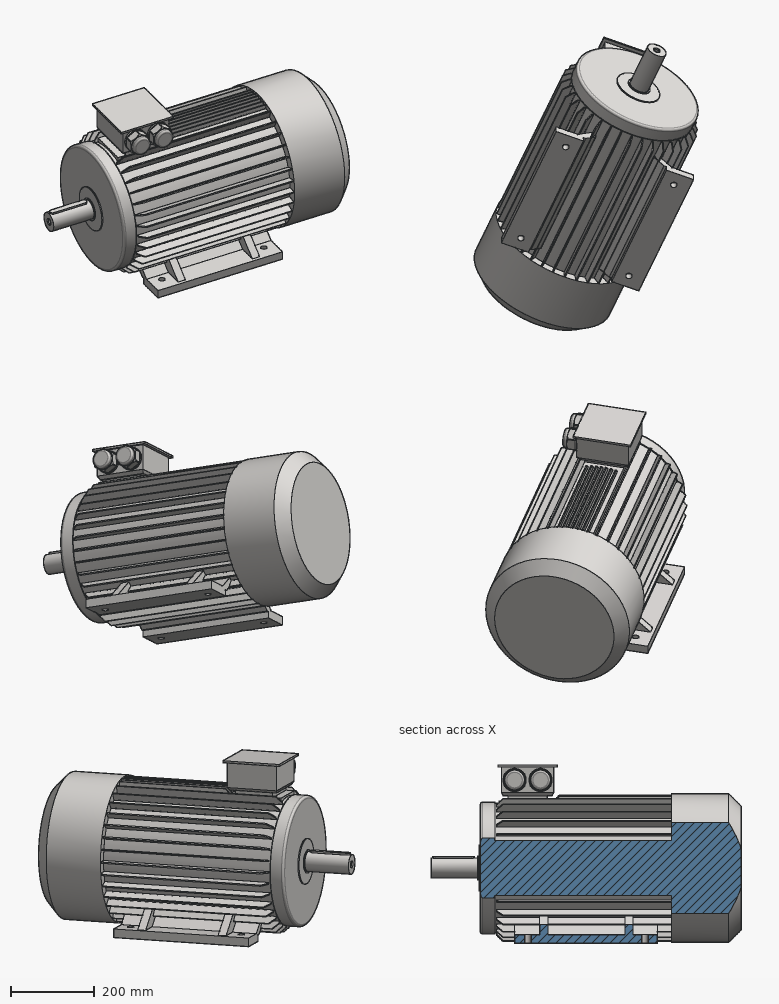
import cadquery as cq
import math


SHAFT_HEIGHT = 180.0
TOP_Z = 246.0
SHAFT_LENGTH = 110.0
REAR_Y = 630.0

SHAFT_DIA = 48.0
KEY_WIDTH = 14.0
KEY_LENGTH = 100.0
KEY_TOP_Z = 27.5
KEY_FRONT_Y = -107.0
CENTRE_HOLE_DIA = 13.84
CENTRE_HOLE_DEPTH = 30.0
CENTRE_HOLE_MOUTH_DIA = 17.0
CENTRE_HOLE_MOUTH_ANGLE = 60.0
DRILL_POINT_ANGLE = 118.0
RING_DIA = 56.5
RING_WIDTH = 1.5
BOSS_DIA = 110.0
BOSS_FRONT_Y = 4.0
SHIELD_DIA = 315.0
SHIELD_FRONT_Y = 7.0
SHIELD_REAR_Y = 42.0
SHIELD_EDGE_RADIUS = 6.0

COVER_DIA = 355.0
COVER_FRONT_Y = 463.0
COVER_CHAMFER = 30.0

CORE_DIA = 310.0
FIN_TIP_RADIUS = 175.5
FIN_THICKNESS = 3.0
FIN_STEP_ANGLE = 10
FIN_FRONT_Y = 46.0
FIN_BEVEL = 15.0
FIN_ROOT_OVERLAP = 3.0
FIN_ROOT_RADIUS = CORE_DIA / 2 - FIN_ROOT_OVERLAP
TOP_GAP_ANGLES = (80, 90, 100)
TOP_FIN_TIP_RADIUS = 174.5
TOP_FIN_PITCH = 12.0
TOP_FIN_COUNT = 7
TOP_FIN_FRONT_Y = 181.0

BOX_CENTRE_Y = 120.0
LID_SIZE = 142.0
LID_THICKNESS = 5.0
BOX_WIDTH = 128.0
BOX_LENGTH = 125.0
BOX_BOTTOM_Z = 172.5
BOX_TAPER_HEIGHT = 7.5
BOX_TAPER_X = 8.5
BOX_TAPER_Y = 4.0
NECK_WIDTH = 97.0
NECK_LENGTH = 94.0
PAD_TOP_Z = 159.5
PAD_FRONT_Y = 52.0
PAD_ROOT_OVERLAP = 15.0

GLAND_Z = 210.0
GLAND_HALF_SPACING = 31.0
GLAND_WASHER_DIA = 55.0
GLAND_WASHER_WIDTH = 5.5
GLAND_HEX_FLATS = 50.0
GLAND_HEX_CORNER_DIA = 56.5
GLAND_HEX_WIDTH = 21.5
GLAND_HEX_CHAMFER = 3.5
GLAND_END_DIA = 47.09
GLAND_END_LENGTH = 11.2
GLAND_END_RADIUS = 5.0

FOOT_OUTER_X = COVER_DIA / 2
FOOT_INNER_X = 107.5
FOOT_THICKNESS = 21.2
FOOT_FRONT_Y = 89.0
FOOT_REAR_Y = 430.0
FOOT_ARM_SLOPE = math.radians(40.0)
ARM_TOP_START_X = 121.5
ARM_END_X = 75.0
ARM_LEDGE_WIDTH = 6.5
ARM_LEDGE_HEIGHT = 15.6
GUSSET_START_X = 168.8
GUSSET_END_X = 105.0
GUSSET_WIDTH = 20.0
GUSSET_CENTRES_Y = (159.0, 362.0)
FOOT_HOLE_DIA = 15.0
FOOT_HOLE_X = 139.5
FOOT_HOLES_Y = (121.0, 400.0)

FOOT_TOP_Z = FOOT_THICKNESS - SHAFT_HEIGHT


def cylinder_y(diameter, start_y, end_y):
    """Cylinder on the shaft axis between two Y positions."""
    base = cq.Workplane("XZ", origin=(0, start_y, 0))
    return base.circle(diameter / 2).extrude(start_y - end_y)


def cylinder_x(diameter, start_x, length, centre_y):
    """Cylinder along X at cable gland height."""
    base = cq.Workplane("YZ", origin=(start_x, centre_y, GLAND_Z))
    return base.circle(diameter / 2).extrude(length)


def block(width, length, centre_y, bottom_z, top_z):
    """Box centred on X = 0."""
    base = cq.Workplane("XY", origin=(0, centre_y, bottom_z))
    return base.rect(width, length).extrude(top_z - bottom_z)


def make_shaft():
    shaft = cylinder_y(SHAFT_DIA, -SHAFT_LENGTH, BOSS_FRONT_Y)
    ring = cylinder_y(RING_DIA, 0, RING_WIDTH)
    key_centre_y = KEY_FRONT_Y + KEY_LENGTH / 2
    key = (
        cq.Workplane("XY", origin=(0, key_centre_y, 0))
        .slot2D(KEY_LENGTH, KEY_WIDTH, 90)
        .extrude(KEY_TOP_Z)
    )
    return shaft.union(ring).union(key)


def make_centre_hole():
    """Threaded-hole core with a countersunk mouth and a conical bottom."""
    radius = CENTRE_HOLE_DIA / 2
    mouth_radius = CENTRE_HOLE_MOUTH_DIA / 2
    mouth_depth = (mouth_radius - radius) / math.tan(math.radians(CENTRE_HOLE_MOUTH_ANGLE / 2))
    point_depth = radius / math.tan(math.radians(DRILL_POINT_ANGLE / 2))
    outline = [
        (0, 0),
        (mouth_radius, 0),
        (radius, mouth_depth),
        (radius, CENTRE_HOLE_DEPTH),
        (0, CENTRE_HOLE_DEPTH + point_depth),
    ]
    hole = cq.Workplane("XY").polyline(outline).close().revolve(360, (0, 0), (0, 1))
    return hole.translate((0, -SHAFT_LENGTH, 0))


def make_body():
    """Bearing boss, end shield, smooth housing core and fan cover."""
    boss = cylinder_y(BOSS_DIA, BOSS_FRONT_Y, SHIELD_FRONT_Y)
    shield = cylinder_y(SHIELD_DIA, SHIELD_FRONT_Y, SHIELD_REAR_Y)
    shield = shield.faces("<Y").edges().fillet(SHIELD_EDGE_RADIUS)
    core = cylinder_y(CORE_DIA, SHIELD_REAR_Y, COVER_FRONT_Y)
    cover = cylinder_y(COVER_DIA, COVER_FRONT_Y, REAR_Y)
    cover = cover.faces(">Y").edges().chamfer(COVER_CHAMFER)
    return core.union(shield).union(boss).union(cover)


def make_fin(tip_radius, front_y):
    """Upright plate above the axis with a 45 degree bevel at its front top corner."""
    outline = [
        (front_y, FIN_ROOT_RADIUS),
        (front_y, tip_radius - FIN_BEVEL),
        (front_y + FIN_BEVEL, tip_radius),
        (COVER_FRONT_Y, tip_radius),
        (COVER_FRONT_Y, FIN_ROOT_RADIUS),
    ]
    plane = cq.Workplane("YZ")
    return plane.polyline(outline).close().extrude(FIN_THICKNESS / 2, both=True)


def add_radial_fins(body):
    fin = make_fin(FIN_TIP_RADIUS, FIN_FRONT_Y)
    for angle in range(0, 360, FIN_STEP_ANGLE):
        if angle not in TOP_GAP_ANGLES:
            body = body.union(fin.rotate((0, 0, 0), (0, 1, 0), 90 - angle))
    return body


def add_top_fins(body):
    """Closely spaced upright fins behind the terminal box, all ending on one tip circle."""
    fin = make_fin(TOP_FIN_TIP_RADIUS, TOP_FIN_FRONT_Y)
    row_half_width = (TOP_FIN_COUNT - 1) / 2 * TOP_FIN_PITCH
    for index in range(TOP_FIN_COUNT):
        offset_x = index * TOP_FIN_PITCH - row_half_width
        drop = TOP_FIN_TIP_RADIUS - math.sqrt(TOP_FIN_TIP_RADIUS ** 2 - offset_x ** 2)
        body = body.union(fin.translate((offset_x, 0, -drop)))
    return body


def make_terminal_box():
    """Lid, box with a tapered bottom, neck, and the flat pad that runs back to the cover."""
    lid = block(LID_SIZE, LID_SIZE, BOX_CENTRE_Y, TOP_Z - LID_THICKNESS, TOP_Z)
    taper_top_z = BOX_BOTTOM_Z + BOX_TAPER_HEIGHT
    box = block(BOX_WIDTH, BOX_LENGTH, BOX_CENTRE_Y, taper_top_z, TOP_Z - LID_THICKNESS)
    taper = (
        cq.Workplane("XY", origin=(0, BOX_CENTRE_Y, BOX_BOTTOM_Z))
        .rect(BOX_WIDTH - 2 * BOX_TAPER_X, BOX_LENGTH - 2 * BOX_TAPER_Y)
        .workplane(offset=BOX_TAPER_HEIGHT)
        .rect(BOX_WIDTH, BOX_LENGTH)
        .loft(ruled=True)
    )
    pad_root_z = CORE_DIA / 2 - PAD_ROOT_OVERLAP
    neck = block(NECK_WIDTH, NECK_LENGTH, BOX_CENTRE_Y, pad_root_z, BOX_BOTTOM_Z)
    pad_length = COVER_FRONT_Y - PAD_FRONT_Y
    pad_centre_y = PAD_FRONT_Y + pad_length / 2
    pad = block(NECK_WIDTH, pad_length, pad_centre_y, pad_root_z, PAD_TOP_Z)
    return box.union(taper).union(lid).union(neck).union(pad)


def make_gland(centre_y):
    """Washer, hexagon nut with rounded corners, and round end piece."""
    washer_x = BOX_WIDTH / 2
    hex_x = washer_x + GLAND_WASHER_WIDTH
    end_x = hex_x + GLAND_HEX_WIDTH
    washer = cylinder_x(GLAND_WASHER_DIA, washer_x, GLAND_WASHER_WIDTH, centre_y)
    hexagon = (
        cq.Workplane("YZ", origin=(hex_x, centre_y, GLAND_Z))
        .polygon(6, GLAND_HEX_FLATS, circumscribed=True)
        .extrude(GLAND_HEX_WIDTH)
    )
    turned = cylinder_x(GLAND_HEX_CORNER_DIA, hex_x, GLAND_HEX_WIDTH, centre_y)
    turned = turned.faces(">X").edges().chamfer(GLAND_HEX_CHAMFER)
    end = cylinder_x(GLAND_END_DIA, end_x, GLAND_END_LENGTH, centre_y)
    end = end.faces(">X").edges().fillet(GLAND_END_RADIUS)
    return washer.union(hexagon.intersect(turned)).union(end)


def make_foot():
    """Foot on the +X side: base plate, sloping arm into the core, gussets and holes."""
    slope = math.tan(FOOT_ARM_SLOPE)
    ledge_x = FOOT_INNER_X - ARM_LEDGE_WIDTH
    ledge_z = ARM_LEDGE_HEIGHT - SHAFT_HEIGHT
    profile = [
        (FOOT_OUTER_X, -SHAFT_HEIGHT),
        (FOOT_OUTER_X, FOOT_TOP_Z),
        (ARM_TOP_START_X, FOOT_TOP_Z),
        (ARM_END_X, FOOT_TOP_Z + slope * (ARM_TOP_START_X - ARM_END_X)),
        (ARM_END_X, ledge_z + slope * (ledge_x - ARM_END_X)),
        (ledge_x, ledge_z),
        (FOOT_INNER_X, ledge_z),
        (FOOT_INNER_X, -SHAFT_HEIGHT),
    ]
    front = cq.Workplane("XZ", origin=(0, FOOT_FRONT_Y, 0))
    foot = front.polyline(profile).close().extrude(FOOT_FRONT_Y - FOOT_REAR_Y)

    gusset_profile = [
        (GUSSET_START_X, FOOT_TOP_Z),
        (GUSSET_END_X, FOOT_TOP_Z + slope * (GUSSET_START_X - GUSSET_END_X)),
        (ARM_END_X, FOOT_TOP_Z + slope * (ARM_TOP_START_X - ARM_END_X)),
        (ARM_TOP_START_X, FOOT_TOP_Z),
    ]
    for centre_y in GUSSET_CENTRES_Y:
        plane = cq.Workplane("XZ", origin=(0, centre_y, 0))
        foot = foot.union(plane.polyline(gusset_profile).close().extrude(GUSSET_WIDTH / 2, both=True))

    hole_points = [(FOOT_HOLE_X, hole_y) for hole_y in FOOT_HOLES_Y]
    holes = (
        cq.Workplane("XY", origin=(0, 0, -SHAFT_HEIGHT))
        .pushPoints(hole_points)
        .circle(FOOT_HOLE_DIA / 2)
        .extrude(FOOT_THICKNESS)
    )
    return foot.cut(holes)


motor = add_top_fins(add_radial_fins(make_body()))

foot = make_foot()
motor = motor.union(foot).union(foot.mirror("YZ"))

motor = motor.union(make_terminal_box())
for side in (-1, 1):
    motor = motor.union(make_gland(BOX_CENTRE_Y + side * GLAND_HALF_SPACING))

result = motor.union(make_shaft()).cut(make_centre_hole())